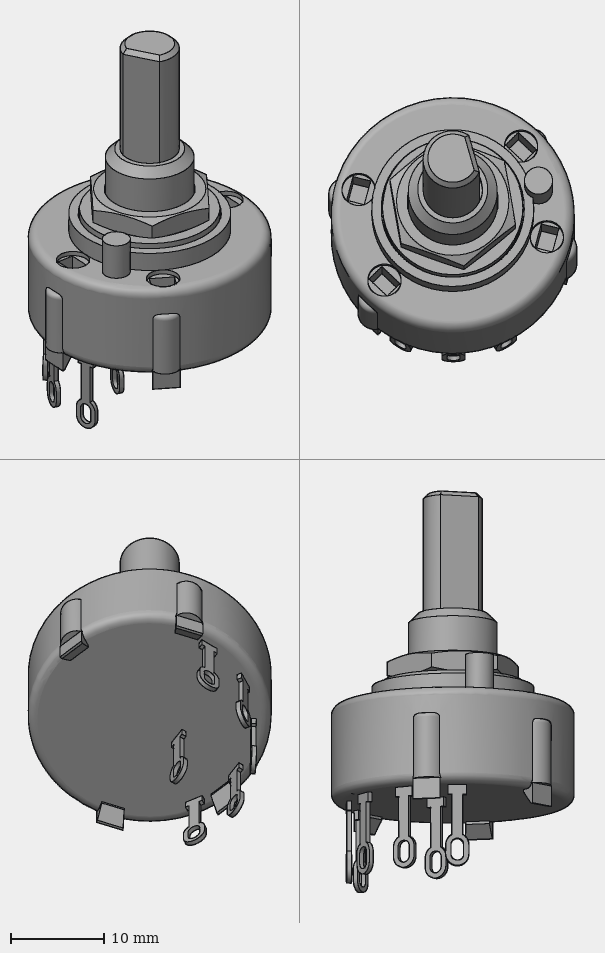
import cadquery as cq
import math

case_height = 10.5
flange_top = 12.6
washer_top = 13.15
nut_top = 15.55
bushing_top = 20.55
shaft_top = 33.55
guide_pin_top = 14.5
terminal_bottom = shaft_top - 42.3

case_diameter = 26.0
case_fillet = 1.0
flange_diameter = 17.35
recess_diameter = 15.3
recess_depth = 0.5
washer_diameter = 15.0
bushing_diameter = 9.5
bushing_tip_diameter = 7.5
bushing_chamfer_height = 1.0
guide_pin_diameter = 3.0
guide_pin_offset = 9.5

shaft_diameter = 6.35
shaft_flat_offset = 2.35
shaft_chamfer = 0.5
flat_depth_in_bushing = 1.0

clip_stations = [(60, 1), (120, -1), (240, 1), (300, -1)]
clip_diameter = 3.55
dimple_radius = 10.4
dimple_depth = 0.5
clip_slot_radial = 1.95
clip_slot_width = 2.7
clip_slot_depth = 3.0
boss_radius = 11.9
boss_bottom = 0.5
boss_top = 7.57
boss_fillet = 0.5
foot_width = 3.0
foot_outer_radius = 12.95
foot_toe = 0.3
foot_inner_radius = 11.25
foot_bottom = -1.7
foot_side_angle = 15

terminal_angles = [135, 165, 195, 225, 255]
terminal_radius = 11.12
common_terminal_angle = 225
common_terminal_radius = 3.75
terminal_thickness = 0.5
shoulder_width = 2.0
shoulder_height = 1.0
stem_width = 1.2
eye_width = 2.5
eye_hole_width = 1.35
eye_straight = 1.0

nut_corner_diameter = 14.35
nut_bore_diameter = 9.75
nut_face_diameter = 12.0
nut_corner_drop = 0.45
nut_angle = -5.8


def cylinder(diameter, bottom, top, x=0, y=0):
    """Vertical round bar between two heights."""
    return cq.Workplane(cq.Plane(origin=(x, y, bottom))).circle(diameter / 2).extrude(top - bottom)


def place(body, angle):
    """Turn a body built on the +X side to its angle about Z."""
    return body.rotate((0, 0, 0), (0, 0, 1), angle)


def make_case():
    """Filleted round case with a flange recessed around the washer step."""
    case = cylinder(case_diameter, 0, case_height).edges().fillet(case_fillet)
    flange = cylinder(flange_diameter, case_height, flange_top)
    recess = cylinder(recess_diameter, flange_top - recess_depth, flange_top)
    washer = cylinder(washer_diameter, flange_top - recess_depth, washer_top)
    guide_pin = cylinder(guide_pin_diameter, case_height, guide_pin_top, y=-guide_pin_offset)
    return case.union(flange).cut(recess).union(washer).union(guide_pin)


def make_bushing():
    """Bushing with a tapered tip, revolved about Z."""
    radius = bushing_diameter / 2
    return (
        cq.Workplane("XZ")
        .moveTo(0, washer_top)
        .lineTo(radius, washer_top)
        .lineTo(radius, bushing_top - bushing_chamfer_height)
        .lineTo(bushing_tip_diameter / 2, bushing_top)
        .lineTo(0, bushing_top)
        .close()
        .revolve(360, (0, 0), (0, 1))
    )


def make_shaft():
    """D-shaped shaft, chamfered all round its top."""
    bottom = bushing_top - flat_depth_in_bushing
    flat_side = (
        cq.Workplane(cq.Plane(origin=(0, -shaft_flat_offset, bottom)))
        .rect(shaft_diameter, shaft_diameter, centered=(True, False))
        .extrude(shaft_top - bottom)
    )
    bar = cylinder(shaft_diameter, bottom, shaft_top).intersect(flat_side)
    return bar.faces(">Z").edges().chamfer(shaft_chamfer)


def make_clip_boss():
    """Rounded boss standing out of the case wall."""
    return cylinder(clip_diameter, boss_bottom, boss_top, x=boss_radius).faces(">Z").edges().fillet(boss_fillet)


def make_foot(narrow_side):
    """Foot with a 45 degree inner slope; its narrow side (+1 or -1 along Y) leans inward."""
    toe_radius = foot_outer_radius - foot_toe
    foot_length = foot_outer_radius - foot_inner_radius
    slope = toe_radius - foot_inner_radius
    half_width = foot_width / 2
    narrowing = foot_length * math.tan(math.radians(foot_side_angle))
    wedge = (
        cq.Workplane("XZ")
        .moveTo(foot_outer_radius, boss_bottom)
        .lineTo(foot_outer_radius, foot_bottom)
        .lineTo(toe_radius, foot_bottom)
        .lineTo(foot_inner_radius, foot_bottom + slope)
        .lineTo(foot_inner_radius, boss_bottom)
        .close()
        .extrude(half_width, both=True)
    )
    footprint = (
        cq.Workplane(cq.Plane(origin=(0, 0, foot_bottom)))
        .moveTo(foot_outer_radius, narrow_side * half_width)
        .lineTo(foot_outer_radius, -narrow_side * half_width)
        .lineTo(foot_inner_radius, -narrow_side * half_width)
        .lineTo(foot_inner_radius, narrow_side * (half_width - narrowing))
        .close()
        .extrude(boss_bottom - foot_bottom)
    )
    return wedge.intersect(footprint)


def make_clip_opening():
    """Round dimple in the case top with a rectangular slot in its floor."""
    floor = case_height - dimple_depth
    dimple = cylinder(clip_diameter, floor, case_height, x=dimple_radius)
    slot = (
        cq.Workplane(cq.Plane(origin=(dimple_radius, 0, floor)))
        .rect(clip_slot_radial, clip_slot_width)
        .extrude(-clip_slot_depth)
    )
    return dimple.union(slot)


def make_terminal(radius):
    """Flat solder terminal: shoulder, stem and an eye with an oblong hole."""
    plane = cq.Plane(origin=(radius, 0, 0), xDir=(0, 1, 0), normal=(1, 0, 0))
    eye_height = eye_straight + eye_width
    eye_center = terminal_bottom + eye_height / 2
    half_thickness = terminal_thickness / 2
    shoulder = (
        cq.Workplane(plane)
        .center(0, -shoulder_height / 2)
        .rect(shoulder_width, shoulder_height)
        .extrude(half_thickness, both=True)
    )
    stem = (
        cq.Workplane(plane)
        .center(0, eye_center / 2)
        .rect(stem_width, abs(eye_center))
        .extrude(half_thickness, both=True)
    )
    eye = (
        cq.Workplane(plane)
        .center(0, eye_center)
        .slot2D(eye_height, eye_width, 90)
        .extrude(half_thickness, both=True)
    )
    hole = (
        cq.Workplane(plane)
        .center(0, eye_center)
        .slot2D(eye_straight + eye_hole_width, eye_hole_width, 90)
        .extrude(half_thickness, both=True)
    )
    return shoulder.union(stem).union(eye).cut(hole)


def make_switch():
    """Complete switch: case, bushing, shaft, clips and terminals in one solid."""
    bore = cylinder(shaft_diameter, bushing_top - flat_depth_in_bushing, bushing_top)
    switch = make_case().union(make_bushing()).cut(bore).union(make_shaft())
    for angle, narrow_side in clip_stations:
        switch = switch.union(place(make_clip_boss(), angle))
        switch = switch.union(place(make_foot(narrow_side), angle))
        switch = switch.cut(place(make_clip_opening(), angle))
    for angle in terminal_angles:
        switch = switch.union(place(make_terminal(terminal_radius), angle))
    return switch.union(place(make_terminal(common_terminal_radius), common_terminal_angle))


def make_nut():
    """Hexagonal nut with both faces chamfered, resting on the washer step."""
    height = nut_top - washer_top
    corner_radius = nut_corner_diameter / 2
    hexagon = (
        cq.Workplane(cq.Plane(origin=(0, 0, washer_top)))
        .polygon(6, nut_corner_diameter)
        .circle(nut_bore_diameter / 2)
        .extrude(height)
    )
    chamfer_envelope = (
        cq.Workplane("XZ")
        .moveTo(0, washer_top)
        .lineTo(nut_face_diameter / 2, washer_top)
        .lineTo(corner_radius, washer_top + nut_corner_drop)
        .lineTo(corner_radius, nut_top - nut_corner_drop)
        .lineTo(nut_face_diameter / 2, nut_top)
        .lineTo(0, nut_top)
        .close()
        .revolve(360, (0, 0), (0, 1))
    )
    return place(hexagon.intersect(chamfer_envelope), nut_angle)


switch = make_switch()
nut = make_nut()

result = cq.Compound.makeCompound([switch.val(), nut.val()])